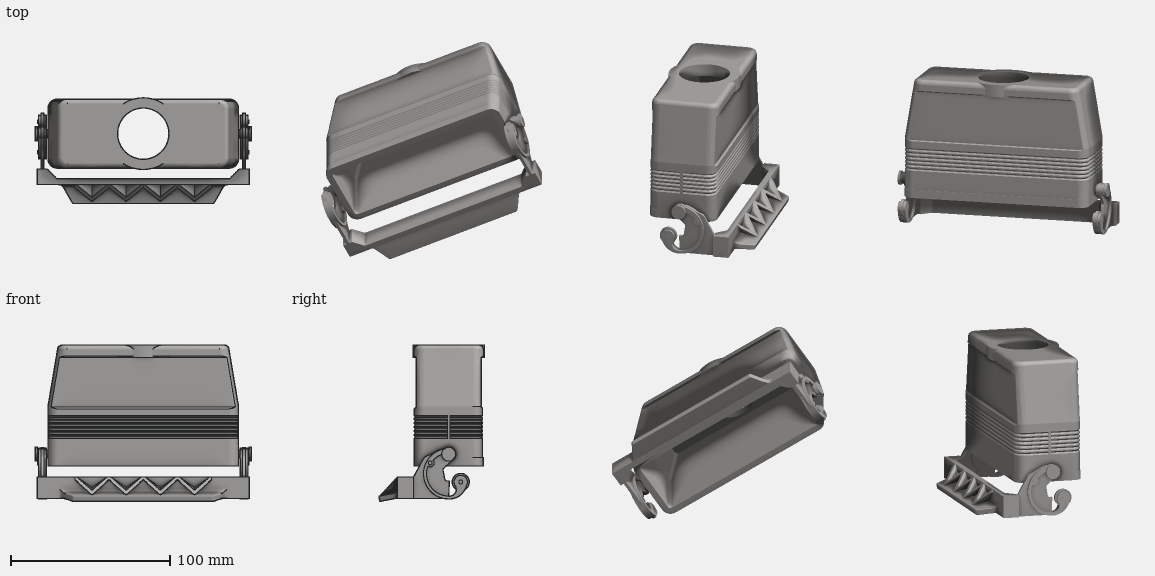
import cadquery as cq
import math


hood_half_x = 60.0
hood_half_y = 21.8
hood_corner = 6.1
hood_height = 76.2
skirt_height = 5.3
back_step = 0.48
kink_z = 37.4
top_half_x = 53.5
top_fillet = 3.0
recess_depth = 1.2
recess_bottom = 36.0
recess_top = 68.4
shoulder_rise = 1.1
ledge_rise = 0.8
panel_edge_radius = 1.1
wall = 4.1
ceiling = 7.8
hole_radius = 16.0
collar_radius = 22.6

groove_count = 6
groove_width = 1.8
groove_depth = 0.8
first_groove_z = 18.4
last_groove_z = 31.0
groove_pitch = (last_groove_z - first_groove_z) / (groove_count - 1)
end_rib_width = 1.8

ring_inner_x = 60.9
ring_outer_x = 66.0
plate_width = 1.9
pivot_z = 7.6
plate_eye = 4.2
ring_eye = 3.7
pin_radius = 2.6
knob_radius = 4.5
knob_inner_x = 66.5
arm_outer_x = 68.0
ring_center_z = -4.8
ring_outer = 15.9
ring_inner = 14.0
ring_inner_upper = 12.9
ring_start = 80
ring_step = 22
ring_step_span = 10
hook_back_bulge = (7.6, -18.0)
hook_back_angle = 30
hook_throat = (4.5, -13.2)
hook_throat_bulge = (3.5, -17.4)
plate_rim = 16.2
plate_rim_end = 54
roller_y = 7.5
roller_z = -9.9
roller_radius = 5.5
hook_radius = 4.2
rivet_y = -11.7
rivet_z = 2.0
rivet_radius = 1.2
rivet_boss = 2.5
rivet_head = 0.4

neck_end = (-2.6, -0.8)
neck_bulge = (-3.5, -2.2)
notch_upper = (-3.3, -3.8)
notch_lower = (-2.7, -7.1)
notch_bulge = (-2.3, -8.5)
notch_floor = (-1.6, -9.2)
heel_top = (0.4, -9.2)
shoulder_low = (-15.9, 4.6)
shoulder_bulge = (-15.4, 5.5)
shoulder_high = (-14.4, 6.1)

bar_half_x = 66.6
bar_top = -6.7
bar_bottom = -20.4
bar_back = -22.2
bar_front = -32.1
bar_thin_back = -28.3
bar_end_land = 6.3

lip_half_root = 51.1
lip_half_tip = 44.3
lip_length = 12.2
lip_root_top = -16.5
lip_thickness = 3.5
lip_tilt = 11.0
lip_corner = 2.0
lip_blend = 2.7
lip_embed = 2.7
lip_edge = 0.5
rib_count = 4
rib_pitch = 21.5
rib_drop = 7.6
rib_thickness = 2.5
rib_crest_z = -8.2
rib_slope_run = 10.9
rib_slope_drop = 11.7

overlap = 1.4
near = 0.1


def hood_plan(z, half_x, y_min, y_max, radius):
    """Rounded rectangle sketched at height z."""
    outline = cq.Sketch().rect(2 * half_x, y_max - y_min).vertices().fillet(radius)
    plane = cq.Workplane("XY", origin=(0, (y_min + y_max) / 2, z))
    return plane.placeSketch(outline)


def leaning_block(low_x, low_z, high_x, high_z, half_y, radius):
    """Rounded block whose end walls lean from low_x to high_x."""
    low = cq.Sketch().rect(2 * low_x, 2 * half_y).vertices().fillet(radius)
    high = cq.Sketch().rect(2 * high_x, 2 * half_y).vertices().fillet(radius)
    sections = cq.Workplane("XY", origin=(0, 0, low_z)).placeSketch(
        low, high.moved(cq.Location(cq.Vector(0, 0, high_z - low_z)))
    )
    return sections.loft(ruled=True)


def side_prism(outline, x_min, x_max):
    """Extrude a closed (Y, Z) outline from x_min to x_max."""
    return cq.Workplane("YZ", origin=(x_min, 0, 0)).polyline(outline).close().extrude(x_max - x_min)


def x_disc(y, z, radius, x_min, x_max):
    """Cylinder along X."""
    return cq.Workplane("YZ", origin=(x_min, y, z)).circle(radius).extrude(x_max - x_min)


def grooved(band, back_y):
    """Cut V grooves round the band, leaving one upright rib on each end wall."""
    taper = math.degrees(math.atan2(groove_depth, groove_width / 2))
    half = groove_width / 2
    for index in range(groove_count):
        z = first_groove_z + index * groove_pitch
        ring = cq.Workplane("XY", origin=(0, 0, z)).box(
            2 * hood_half_x + overlap, 2 * hood_half_y + overlap, groove_width
        )
        for side in (-1, 1):
            core = hood_plan(z + side * half, hood_half_x, -hood_half_y, back_y, hood_corner)
            ring = ring.cut(core.extrude(-side * half, taper=taper))
        band = band.cut(ring)
    rib_height = last_groove_z - first_groove_z + groove_width
    rib = cq.Workplane("XY", origin=(0, 0, first_groove_z - half))
    return band.union(rib.rect(2 * hood_half_x, end_rib_width).extrude(rib_height))


def make_hood():
    """Hollow hood: skirt, grooved band, leaning upper part, panels and cable collar."""
    back_y = hood_half_y - back_step
    skirt = hood_plan(0, hood_half_x, -hood_half_y, hood_half_y, hood_corner).extrude(skirt_height)
    band = hood_plan(skirt_height, hood_half_x, -hood_half_y, back_y, hood_corner)
    band = grooved(band.extrude(kink_z - skirt_height), back_y)
    upper = leaning_block(hood_half_x, kink_z, top_half_x, hood_height, hood_half_y, hood_corner)
    upper = upper.faces(">Z").edges().fillet(top_fillet)
    hood = skirt.union(band).union(upper)

    shoulder_top = recess_bottom + shoulder_rise
    recess_y = hood_half_y - recess_depth
    beyond_y = hood_half_y + recess_depth
    panel = [
        (recess_y, recess_top),
        (beyond_y, recess_top + 2 * ledge_rise),
        (beyond_y, recess_bottom - shoulder_rise),
        (recess_y, shoulder_top),
    ]
    recess = side_prism(panel, -hood_half_x - overlap, hood_half_x + overlap)
    hood = hood.cut(recess).cut(recess.mirror("XZ"))
    for side in (-1, 1):
        panel_sides = cq.selectors.BoxSelector(
            (-hood_half_x, side * recess_y - near, kink_z + skirt_height),
            (hood_half_x, side * recess_y + near, recess_top - skirt_height),
        )
        hood = hood.edges(panel_sides).fillet(panel_edge_radius)

    collar = cq.Workplane("XY", origin=(0, 0, recess_top)).circle(collar_radius)
    hood = hood.union(collar.extrude(hood_height - recess_top))

    inner_x = hood_half_x - wall
    inner_y = hood_half_y - wall
    inner_corner = hood_corner - wall
    ceiling_z = hood_height - ceiling
    lean = (hood_half_x - top_half_x) / (hood_height - kink_z)
    ceiling_x = inner_x - lean * (ceiling_z - kink_z)
    cavity = hood_plan(0, inner_x, -inner_y, inner_y, inner_corner).extrude(kink_z)
    cavity = cavity.union(leaning_block(inner_x, kink_z, ceiling_x, ceiling_z, inner_y, inner_corner))
    hole = cq.Workplane("XY").circle(hole_radius).extrude(hood_height)
    return hood.cut(cavity).cut(hole)


def on_ring(radius, degrees):
    """(Y, Z) point on a circle about the ring centre; 0 degrees is -Y, 90 is up."""
    angle = math.radians(degrees)
    return (-radius * math.cos(angle), ring_center_z + radius * math.sin(angle))


def make_ring(x_min, x_max):
    """C-shaped ring running from the pivot round to the roller, ending in a hook."""
    hook_angle = math.radians(hook_back_angle)
    hook_back = (
        roller_y + hook_radius * math.cos(hook_angle),
        roller_z - hook_radius * math.sin(hook_angle),
    )
    upper_start = ring_step + ring_step_span
    upper_middle = (upper_start + ring_start) / 2
    profile = (
        cq.Workplane("YZ", origin=(x_min, 0, 0))
        .moveTo(*on_ring(ring_outer, ring_start))
        .threePointArc(on_ring(ring_outer, 0), on_ring(ring_outer, -90))
        .threePointArc(hook_back_bulge, hook_back)
        .lineTo(roller_y, roller_z)
        .lineTo(*hook_throat)
        .threePointArc(hook_throat_bulge, on_ring(ring_inner, -90))
        .threePointArc(on_ring(ring_inner, -30), on_ring(ring_inner, ring_step))
        .lineTo(*on_ring(ring_inner_upper, upper_start))
        .threePointArc(on_ring(ring_inner_upper, upper_middle), on_ring(ring_inner_upper, ring_start))
        .close()
    )
    boss = x_disc(rivet_y, rivet_z, rivet_boss, x_min, x_max)
    boss = boss.intersect(x_disc(0, ring_center_z, ring_outer, x_min, x_max))
    ring = profile.extrude(x_max - x_min).union(boss)
    ring = ring.union(x_disc(0, pivot_z, ring_eye, x_min, x_max))
    return ring.union(x_disc(roller_y, roller_z, hook_radius, x_min, x_max))


def make_plate(x_min, x_max):
    """Flat web from the pivot eye down to the handle bar, with a latch notch in its +Y edge."""
    eye_tangent = plate_eye * math.sqrt(0.5)
    rim_middle = (plate_rim_end + ring_start) / 2
    profile = (
        cq.Workplane("YZ", origin=(x_min, 0, 0))
        .moveTo(eye_tangent, pivot_z - eye_tangent)
        .lineTo(*neck_end)
        .threePointArc(neck_bulge, notch_upper)
        .lineTo(*notch_lower)
        .threePointArc(notch_bulge, notch_floor)
        .lineTo(*heel_top)
        .lineTo(0, bar_bottom)
        .lineTo(bar_back - overlap, bar_bottom)
        .lineTo(bar_back - overlap, bar_top)
        .lineTo(bar_back, bar_top)
        .lineTo(*shoulder_low)
        .threePointArc(shoulder_bulge, shoulder_high)
        .lineTo(*on_ring(plate_rim, plate_rim_end))
        .threePointArc(on_ring(plate_rim, rim_middle), on_ring(plate_rim, ring_start))
        .lineTo(0, pivot_z)
        .close()
    )
    return profile.extrude(x_max - x_min).union(x_disc(0, pivot_z, plate_eye, x_min, x_max))


def make_arm():
    """Arm at +X: ring, web, roller, pivot pin with knob, and two rivet heads."""
    arm_mid_x = (ring_inner_x + ring_outer_x) / 2
    plate_min = arm_mid_x - plate_width / 2
    plate_max = arm_mid_x + plate_width / 2
    arm = make_ring(ring_inner_x, ring_outer_x).union(make_plate(plate_min, plate_max))
    arm = arm.union(x_disc(roller_y, roller_z, roller_radius, plate_min, plate_max))
    arm = arm.union(x_disc(0, pivot_z, pin_radius, hood_half_x - overlap, knob_inner_x))
    arm = arm.union(x_disc(0, pivot_z, knob_radius, knob_inner_x, arm_outer_x))
    for y, z in ((rivet_y, rivet_z), (roller_y, roller_z)):
        arm = arm.union(x_disc(y, z, rivet_radius, ring_inner_x, ring_outer_x + rivet_head))
    return arm


def make_bar():
    """Handle bar, thinned from behind between its two ends."""
    land_x = bar_half_x - bar_end_land
    thin_x = land_x - (bar_back - bar_thin_back)
    outline = [
        (-bar_half_x, bar_front),
        (bar_half_x, bar_front),
        (bar_half_x, bar_back),
        (land_x, bar_back),
        (thin_x, bar_thin_back),
        (-thin_x, bar_thin_back),
        (-land_x, bar_back),
        (-bar_half_x, bar_back),
    ]
    base = cq.Workplane("XY", origin=(0, 0, bar_bottom)).polyline(outline).close()
    return base.extrude(bar_top - bar_bottom)


def lip_slab():
    """Flat lip with its top at the origin, tapering towards -Y, with rounded tip corners."""
    side_lean = (lip_half_root - lip_half_tip) / lip_length
    back_half = lip_half_root + side_lean * lip_embed
    plan = [
        (-back_half, lip_embed),
        (back_half, lip_embed),
        (lip_half_tip, -lip_length),
        (-lip_half_tip, -lip_length),
    ]
    slab = cq.Workplane("XY").polyline(plan).close().extrude(-lip_thickness)
    return slab.faces("<Y").edges("|Z").fillet(lip_corner)


def hang_lip(slab):
    """Tilt the lip about its root edge and set it on the front of the bar."""
    return slab.rotate((0, 0, 0), (1, 0, 0), lip_tilt).translate((0, bar_front, lip_root_top))


def make_ribs():
    """Row of V-shaped troughs lying along the lip and cut off by a sloping plane."""
    half_pitch = rib_pitch / 2
    lower = []
    for index in range(2 * rib_count + 1):
        x = (index - rib_count) * half_pitch
        lower.append((x, rib_crest_z - rib_drop * (index % 2)))
    upper = [(x, z + rib_thickness) for x, z in reversed(lower)]
    tilt = math.radians(lip_tilt)
    root = cq.Plane(
        origin=(0, bar_front, 0), xDir=(1, 0, 0), normal=(0, -math.cos(tilt), -math.sin(tilt))
    )
    troughs = cq.Workplane(root).polyline(lower + upper).close().extrude(2 * rib_slope_run, both=True)
    wedge = [
        (bar_front + overlap, bar_top),
        (bar_front, bar_top),
        (bar_front - rib_slope_run, bar_top - rib_slope_drop),
        (bar_front + overlap, bar_top - rib_slope_drop),
    ]
    return troughs.intersect(side_prism(wedge, -bar_half_x, bar_half_x))


def make_handle():
    """Bar with its lip: hollow blends at the lip root, rounded rim beyond them, ribs on top."""
    blended = make_bar().union(hang_lip(lip_slab()))
    bar_face = cq.selectors.BoxSelector(
        (-bar_half_x + overlap, bar_front - near, bar_bottom + near),
        (bar_half_x - overlap, bar_front + near, bar_top - overlap),
    )
    blended = blended.edges(bar_face).edges("not <Z").fillet(lip_blend)
    beyond_blend = side_prism(
        [
            (bar_front - lip_blend, bar_top),
            (bar_front - 2 * lip_length, bar_top),
            (bar_front - 2 * lip_length, 2 * bar_bottom),
            (bar_front - lip_blend, 2 * bar_bottom),
        ],
        -bar_half_x,
        bar_half_x,
    )
    rounded = lip_slab().faces("<Z or >Z").edges("not >Y").fillet(lip_edge)
    return blended.cut(beyond_blend).union(hang_lip(rounded)).union(make_ribs())


hood = make_hood()
arm = make_arm()
handle = make_handle()
result = hood.union(handle).union(arm).union(arm.mirror("YZ"))